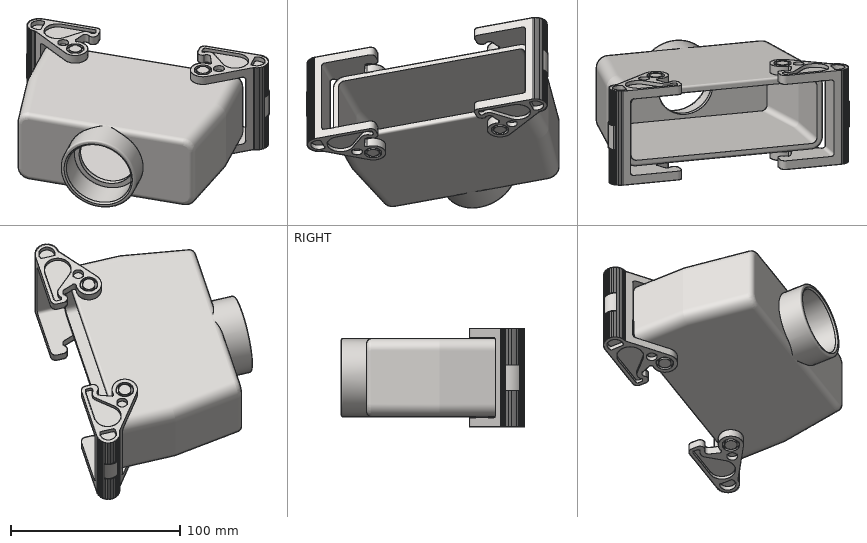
import cadquery as cq
import math


HALF_HEIGHT = 23.1
BACK_HALF_WIDTH = 61.5
FRONT_HALF_WIDTH = 54.3
SHOULDER_Y = -34.3
FRONT_Y = -77.4
SIDE_RADIUS = 7.2
FRONT_RADIUS = 3.3
BACK_RADIUS = 1.3
WALL = 3.7
FRONT_WALL = 5.2

ENTRY_RADIUS = HALF_HEIGHT
ENTRY_LENGTH = 14.9
ENTRY_BORE_RADIUS = 20.0
ENTRY_BORE_DEPTH = 17.3
ENTRY_HOLE_RADIUS = 17.0
ENTRY_RIM_RADIUS = 1.0
ENTRY_FLARE = 1.0

LEVER_HEIGHT = 58.0
LEVER_HALF_HEIGHT = LEVER_HEIGHT / 2
CHEEK_GAP = 0.5
CHEEK_INNER_Z = HALF_HEIGHT + CHEEK_GAP
WINDOW_X = -63.2
WINDOW_RADIUS = 2.0
GRIP_X, GRIP_Y = -67.1, 8.6
GRIP_RADIUS = 7.0
PIVOT_X, PIVOT_Y = -39.4, -9.2
PIVOT_RADIUS = 7.5
LEVER_TOP_Y = GRIP_Y + GRIP_RADIUS
HOOK_TIP_X = -30.7
HOOK_RADIUS = 3.1
NOTCH_CROWN = (-37.7, 7.0)
NOTCH_END = (-39.4, 6.0)
THROAT_START = (-41.6, 0.3)
THROAT_MIDDLE = (-41.7, -1.0)
THROAT_END_ANGLE = 100.0

GROOVE_COUNT = 11
GROOVE_PITCH = 16.0
GROOVE_DEPTH = 0.1
BADGE_RADIUS = 7.5
BADGE_HALF_ANGLE = 36.0
BADGE_HEIGHT = 14.9

POCKET_DEPTH = 3.0
DROP_DEPTH = 2.2
RIM = 2.2
GRIP_POCKET_RADIUS = GRIP_RADIUS - RIM
GRIP_POCKET_EDGE_X = -64.7
GRIP_POCKET_CORNER = 0.9
DROP_X = -54.7
DROP_RADIUS = 7.9
DROP_TIP_RADIUS = 1.3
DROP_TIP_Y = 10.3
DROP_CROWN = (-37.7, 10.1)
DROP_CROWN_END = (-40.1, 9.4)
SMALL_HOLE_X, SMALL_HOLE_Y = -48.0, -5.2
SMALL_HOLE_RADIUS = 3.1
RING_OUTER_RADIUS = 5.0
RING_INNER_RADIUS = 3.7
RING_DEPTH = 1.5


def polar(x, y, radius, degrees):
    """Point at a given radius and direction from (x, y)."""
    angle = math.radians(degrees)
    return x + radius * math.cos(angle), y + radius * math.sin(angle)


def slab(outline, z_low, z_high):
    """Extrude a closed XY outline between two heights."""
    return outline.extrude(z_high - z_low).translate((0, 0, z_low))


def disc(x, y, radius, z_low, z_high):
    return slab(cq.Workplane("XY").center(x, y).circle(radius), z_low, z_high)


def hood_blank(inset, front_y):
    """Tapered block whose back, sides and large faces lie a given distance inside the hood."""
    back = BACK_HALF_WIDTH - inset
    front = FRONT_HALF_WIDTH - inset
    height = HALF_HEIGHT - inset
    outline = cq.Workplane("XY").polyline([
        (-back, 0), (-back, SHOULDER_Y), (-front, front_y),
        (front, front_y), (back, SHOULDER_Y), (back, 0),
    ]).close()
    return slab(outline, -height, height)


def hood_shell():
    long_side_edges = "not (|X or |Z)"
    block = hood_blank(0, FRONT_Y).edges(long_side_edges).fillet(SIDE_RADIUS)
    block = block.faces("<Y").edges().fillet(FRONT_RADIUS)
    block = block.faces(">Y").edges().fillet(BACK_RADIUS)
    cavity = hood_blank(WALL, FRONT_Y + FRONT_WALL).edges(long_side_edges).fillet(SIDE_RADIUS - WALL)
    return block.cut(cavity)


def add_cable_entry(body):
    end_y = FRONT_Y - ENTRY_LENGTH
    end_plane = cq.Workplane("XZ", origin=(0, end_y, 0))
    tube_length = ENTRY_LENGTH + FRONT_WALL
    tube = end_plane.circle(ENTRY_RADIUS).extrude(-tube_length).faces("<Y").edges().fillet(ENTRY_RIM_RADIUS)
    bore = end_plane.circle(ENTRY_BORE_RADIUS).extrude(-ENTRY_BORE_DEPTH)
    flare = end_plane.circle(ENTRY_BORE_RADIUS + ENTRY_FLARE).extrude(-ENTRY_FLARE, taper=45)
    hole = end_plane.circle(ENTRY_HOLE_RADIUS).extrude(-tube_length)
    return body.union(tube).cut(bore).cut(flare).cut(hole)


def lever_outline():
    """Lever side profile: grip, top edge, hook, notch, pivot eye and straight lower edge."""
    grip_bottom = (GRIP_X, GRIP_Y - GRIP_RADIUS)
    hook_x = HOOK_TIP_X - HOOK_RADIUS
    hook_top = (hook_x, LEVER_TOP_Y - HOOK_RADIUS)
    hook_low = (hook_x, GRIP_Y)
    run = PIVOT_X - grip_bottom[0]
    drop = PIVOT_Y - grip_bottom[1]
    edge_angle = math.atan2(drop, run) - math.asin(PIVOT_RADIUS / math.hypot(run, drop))
    eye_end_angle = math.degrees(edge_angle) - 90
    return (
        cq.Workplane("XY")
        .moveTo(*grip_bottom)
        .threePointArc((GRIP_X - GRIP_RADIUS, GRIP_Y), (GRIP_X, LEVER_TOP_Y))
        .lineTo(hook_x, LEVER_TOP_Y)
        .threePointArc(polar(*hook_top, HOOK_RADIUS, 45), (HOOK_TIP_X, hook_top[1]))
        .lineTo(HOOK_TIP_X, hook_low[1])
        .threePointArc(polar(*hook_low, HOOK_RADIUS, -60), polar(*hook_low, HOOK_RADIUS, -120))
        .threePointArc(NOTCH_CROWN, NOTCH_END)
        .lineTo(*THROAT_START)
        .threePointArc(THROAT_MIDDLE, polar(PIVOT_X, PIVOT_Y, PIVOT_RADIUS, THROAT_END_ANGLE))
        .threePointArc(polar(PIVOT_X, PIVOT_Y, PIVOT_RADIUS, 0),
                       polar(PIVOT_X, PIVOT_Y, PIVOT_RADIUS, eye_end_angle))
        .close()
    )


def grip_sector(inner_radius, outer_radius, start, end):
    """Closed ring sector around the grip axis between two directions in degrees."""
    middle = (start + end) / 2
    return (
        cq.Workplane("XY")
        .moveTo(*polar(GRIP_X, GRIP_Y, inner_radius, start))
        .lineTo(*polar(GRIP_X, GRIP_Y, outer_radius, start))
        .threePointArc(polar(GRIP_X, GRIP_Y, outer_radius, middle),
                       polar(GRIP_X, GRIP_Y, outer_radius, end))
        .lineTo(*polar(GRIP_X, GRIP_Y, inner_radius, end))
        .threePointArc(polar(GRIP_X, GRIP_Y, inner_radius, middle),
                       polar(GRIP_X, GRIP_Y, inner_radius, start))
        .close()
    )


def drop_outline():
    """Teardrop recess: a round bowl running out into a narrow tip inside the hook."""
    top_y = LEVER_TOP_Y - RIM
    bowl = (DROP_X, top_y - DROP_RADIUS)
    tip_right = HOOK_TIP_X - RIM
    tip_x = tip_right - DROP_TIP_RADIUS
    tip_top = (tip_x, top_y - DROP_TIP_RADIUS)
    tip_low = (tip_x, DROP_TIP_Y)
    return (
        cq.Workplane("XY")
        .moveTo(DROP_X, top_y)
        .lineTo(tip_x, top_y)
        .threePointArc(polar(*tip_top, DROP_TIP_RADIUS, 45), (tip_right, tip_top[1]))
        .lineTo(tip_right, tip_low[1])
        .threePointArc(polar(*tip_low, DROP_TIP_RADIUS, -60), polar(*tip_low, DROP_TIP_RADIUS, -120))
        .threePointArc(DROP_CROWN, DROP_CROWN_END)
        .lineTo(*polar(*bowl, DROP_RADIUS, -45))
        .threePointArc(polar(*bowl, DROP_RADIUS, -180), (DROP_X, top_y))
        .close()
    )


def grip_pocket(z_low, z_high):
    """D-shaped recess inside the grip."""
    round_part = disc(GRIP_X, GRIP_Y, GRIP_POCKET_RADIUS, z_low, z_high)
    cutter = cq.Workplane("XY").box(
        2 * GRIP_RADIUS, 2 * GRIP_RADIUS, z_high - z_low, centered=(False, True, False)
    ).translate((GRIP_POCKET_EDGE_X, GRIP_Y, z_low))
    return round_part.cut(cutter).edges("|Z and >X").fillet(GRIP_POCKET_CORNER)


def cheek_recesses():
    """Cutters for the recesses in the upper cheek."""
    top = LEVER_HALF_HEIGHT
    floor = top - POCKET_DEPTH
    ring = disc(PIVOT_X, PIVOT_Y, RING_OUTER_RADIUS, top - RING_DEPTH, top).cut(
        disc(PIVOT_X, PIVOT_Y, RING_INNER_RADIUS, top - RING_DEPTH, top))
    return [
        grip_pocket(floor, top),
        slab(drop_outline(), top - DROP_DEPTH, top),
        disc(SMALL_HOLE_X, SMALL_HOLE_Y, SMALL_HOLE_RADIUS, floor, top),
        ring,
    ]


def left_lever():
    lever = slab(lever_outline(), -LEVER_HALF_HEIGHT, LEVER_HALF_HEIGHT)
    window_length = HOOK_TIP_X - WINDOW_X
    window = (
        cq.Workplane("XY")
        .box(2 * window_length, 4 * window_length, 2 * CHEEK_INNER_Z)
        .edges("|Y and <X").fillet(WINDOW_RADIUS)
        .translate((WINDOW_X + window_length, 0, 0))
    )
    lever = lever.cut(window)

    first_groove = 180 - GROOVE_PITCH * (GROOVE_COUNT - 1) / 2
    for index in range(GROOVE_COUNT):
        middle = first_groove + index * GROOVE_PITCH
        groove = grip_sector(GRIP_RADIUS - GROOVE_DEPTH, BADGE_RADIUS,
                             middle - GROOVE_PITCH / 4, middle + GROOVE_PITCH / 4)
        lever = lever.cut(slab(groove, -LEVER_HALF_HEIGHT, LEVER_HALF_HEIGHT))
    badge = grip_sector(GRIP_POCKET_RADIUS, BADGE_RADIUS, 180 - BADGE_HALF_ANGLE, 180 + BADGE_HALF_ANGLE)
    lever = lever.union(slab(badge, -BADGE_HEIGHT / 2, BADGE_HEIGHT / 2))

    for recess in cheek_recesses():
        lever = lever.cut(recess).cut(recess.mirror("XY"))

    pin = disc(PIVOT_X, PIVOT_Y, RING_INNER_RADIUS, HALF_HEIGHT - WALL, CHEEK_INNER_Z + CHEEK_GAP)
    return lever.union(pin).union(pin.mirror("XY"))


lever = left_lever()
result = add_cable_entry(hood_shell()).union(lever).union(lever.mirror("YZ"))